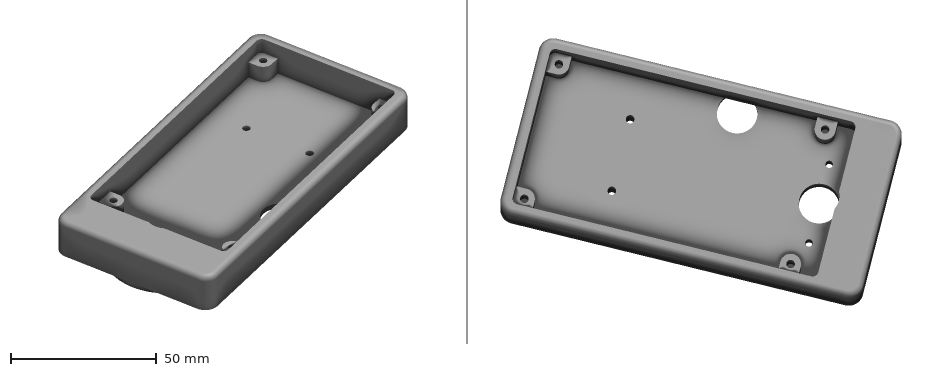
import cadquery as cq

length = 128.0
width = 64.0
body_height = 14.5
corner_radius = 5.0
top_edge_radius = 2.0

wall = 4.0
front_ledge = 16.0
floor_thickness = 2.0
pocket_corner_radius = 2.0
pocket_width = width - 2 * wall
pocket_back = length / 2 - wall
pocket_front = -length / 2 + front_ledge
pocket_length = pocket_back - pocket_front

foot_diameter = 44.5
foot_edge_radius = 2.5
tall_foot_depth = 7.0
short_foot_depth = 3.2
tall_foot_y = 28.3
short_foot_y = -length / 2 + foot_diameter / 2

post_radius = 3.6
post_height = 6.5
post_x = 24.3
post_back_y = 56.3
post_front_y = -37.8
post_hole_diameter = 3.0

large_hole_diameter = 14.0
side_hole_x = 23.8
side_hole_y = -6.8
tall_foot_hole_x = 12.9
tall_foot_hole_diameter = 3.0
short_foot_hole_x = 14.2
short_foot_hole_diameter = 2.5


def cylinder(x, y, diameter, bottom, top):
    """Vertical cylinder between two heights."""
    return cq.Workplane("XY", origin=(x, y, bottom)).circle(diameter / 2).extrude(top - bottom)


def make_pocket():
    """Rounded block filling the pocket, from the floor to the top of the body."""
    return (
        cq.Workplane("XY", origin=(0, (pocket_back + pocket_front) / 2, floor_thickness))
        .rect(pocket_width, pocket_length)
        .extrude(body_height - floor_thickness)
        .edges("|Z")
        .fillet(pocket_corner_radius)
    )


def make_body():
    """Rounded block with a softened top rim."""
    return (
        cq.Workplane("XY")
        .rect(width, length)
        .extrude(body_height)
        .edges("|Z")
        .fillet(corner_radius)
        .faces(">Z")
        .edges()
        .fillet(top_edge_radius)
    )


def make_foot(y, depth):
    """Disc hanging below the body, with a rounded lower edge."""
    return cylinder(0, y, foot_diameter, -depth, 0).faces("<Z").edges().fillet(foot_edge_radius)


def make_post(side, y, reaches_back_wall):
    """Rounded post joined to a side wall, and to the back wall if it stands in a corner."""
    post_top = floor_thickness + post_height
    reach = pocket_width / 2 - post_x
    base = cq.Workplane("XY", origin=(side * post_x, y, floor_thickness))
    post = cylinder(side * post_x, y, 2 * post_radius, floor_thickness, post_top)
    post = post.union(base.center(side * reach / 2, 0).rect(reach, 2 * post_radius).extrude(post_height))
    if reaches_back_wall:
        back_reach = pocket_back - y
        back_web = (
            base.center(0, back_reach / 2)
            .rect(2 * post_radius, back_reach)
            .extrude(post_height)
        )
        corner_fill = (
            base.center(side * reach / 2, back_reach / 2)
            .rect(reach, back_reach)
            .extrude(post_height)
        )
        post = post.union(back_web).union(corner_fill)
    post = post.intersect(make_pocket())
    return post.cut(cylinder(side * post_x, y, post_hole_diameter, floor_thickness, post_top))


result = make_body().cut(make_pocket())
result = result.union(make_foot(tall_foot_y, tall_foot_depth))
result = result.union(make_foot(short_foot_y, short_foot_depth))

for side in (-1, 1):
    result = result.union(make_post(side, post_back_y, True))
    result = result.union(make_post(side, post_front_y, False))

result = result.cut(cylinder(0, short_foot_y, large_hole_diameter, -short_foot_depth, body_height))

result = result.cut(cylinder(side_hole_x, side_hole_y, large_hole_diameter, 0, floor_thickness))

for side in (-1, 1):
    tall_foot_hole = cylinder(
        side * tall_foot_hole_x, tall_foot_y, tall_foot_hole_diameter, -tall_foot_depth, floor_thickness
    )
    short_foot_hole = cylinder(
        side * short_foot_hole_x, short_foot_y, short_foot_hole_diameter, -short_foot_depth, floor_thickness
    )
    result = result.cut(tall_foot_hole).cut(short_foot_hole)